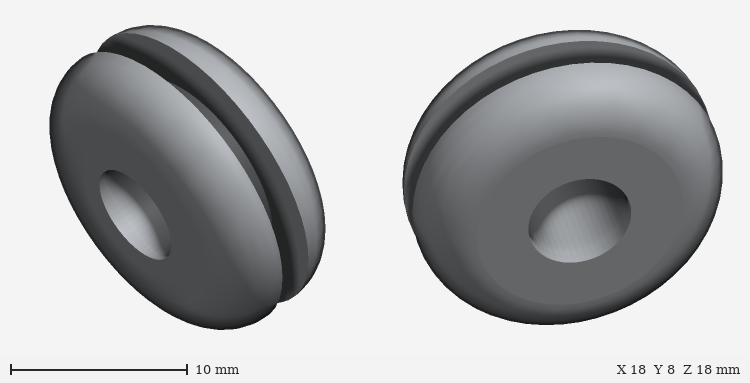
import cadquery as cq
import math

outer_diameter = 18.0
total_width = 8.0
groove_width = 2.0
bore_diameter = 6.0

outer_radius = outer_diameter / 2
bore_radius = bore_diameter / 2
half_width = total_width / 2
half_groove = groove_width / 2

round_radius = half_width - half_groove

groove_radius = outer_radius - round_radius

arc_mid = round_radius * math.sin(math.radians(45))
arc_mid_radius = groove_radius + arc_mid
arc_mid_y = half_groove + arc_mid

section = (
    cq.Workplane("XY")
    .moveTo(bore_radius, -half_width)
    .lineTo(groove_radius, -half_width)
    .threePointArc((arc_mid_radius, -arc_mid_y), (outer_radius, -half_groove))
    .lineTo(groove_radius, -half_groove)
    .lineTo(groove_radius, half_groove)
    .lineTo(outer_radius, half_groove)
    .threePointArc((arc_mid_radius, arc_mid_y), (groove_radius, half_width))
    .lineTo(bore_radius, half_width)
    .close()
)

result = section.revolve(360, (0, 0, 0), (0, 1, 0))